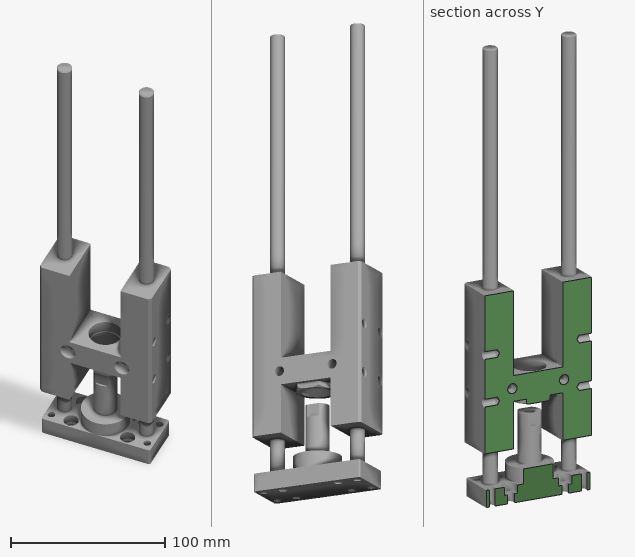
import cadquery as cq
import math

OVERALL_HEIGHT = 310.0

HOUSING_WIDTH = 79.0
HOUSING_DEPTH = 34.0
HOUSING_BOTTOM = 37.0
HOUSING_HEIGHT = 108.5
HOUSING_CHAMFER = 2.0
LEG_GAP = 36.0
BRIDGE_BOTTOM = 69.5
BRIDGE_HEIGHT = 18.0
BRIDGE_TOP = BRIDGE_BOTTOM + BRIDGE_HEIGHT
BRIDGE_MIDDLE = BRIDGE_BOTTOM + BRIDGE_HEIGHT / 2

BORE_DIAMETER = 20.5
BORE_RECESS_DIAMETER = 22.0
BORE_RECESS_DEPTH = 8.0
HEX_ACROSS_FLATS = 27.0
HEX_ACROSS_CORNERS = HEX_ACROSS_FLATS / math.cos(math.radians(30))
HEX_HEIGHT = 3.7
HEX_CHAMFER_ANGLE = 30.0

MOUNT_SPACING = 38.0
MOUNT_DIAMETER = 6.5
MOUNT_COUNTERBORE_DIAMETER = 11.0
MOUNT_COUNTERBORE_DEPTH = 8.7

DRILL_TIP_ANGLE = 118.0
SIDE_HOLE_DIAMETER = 5.0
SIDE_HOLE_MOUTH_DIAMETER = 6.5
SIDE_HOLE_DEPTH = 9.3
SIDE_HOLE_SPACING_Y = 23.0
SIDE_HOLE_SPACING_Z = 32.5
SIDE_HOLE_MIDDLE_Z = 88.0

PLATE_WIDTH = 77.0
PLATE_DEPTH = 32.0
PLATE_HEIGHT = 12.0
PLATE_CHAMFER = 1.0
ROD_DIAMETER = 10.0
ROD_SPACING = 58.0
ROD_CHAMFER = 0.5
FLANGE_DIAMETER = PLATE_DEPTH
FLANGE_HEIGHT = 10.2
SPINDLE_DIAMETER = 15.8
SPINDLE_TOP = 56.7
SPINDLE_ACROSS_FLATS = 13.0
SPINDLE_FLAT_LENGTH = 8.5
SPINDLE_HOLE_DIAMETER = 6.5
SPINDLE_HOLE_MOUTH_DIAMETER = 8.5
SPINDLE_HOLE_DEPTH = 15.5

CORNER_HOLE_DIAMETER = 5.0
CORNER_HOLE_SPACING_X = 68.0
PLATE_HOLE_SPACING_Y = 19.8
SCREW_HOLE_SPACING_X = 40.0
SCREW_HOLE_DIAMETER = 5.5
SCREW_COUNTERBORE_DIAMETER = 10.0
SCREW_COUNTERBORE_DEPTH = 5.5


def cylinder(diameter, bottom, top):
    """Upright cylinder on the Z axis."""
    return cq.Workplane("XY").workplane(offset=bottom).circle(diameter / 2).extrude(top - bottom)


def upright_block(width, depth, bottom, height):
    """Box centred on the Z axis, standing on the given level."""
    return cq.Workplane("XY").workplane(offset=bottom).rect(width, depth).extrude(height)


def drilled_hole(diameter, mouth_diameter, depth):
    """Cutter for a blind hole down from the origin: 45 degree mouth, conical bottom."""
    radius = diameter / 2
    mouth_radius = mouth_diameter / 2
    tip_length = radius / math.tan(math.radians(DRILL_TIP_ANGLE / 2))
    return (
        cq.Workplane("XZ")
        .moveTo(0, 0)
        .lineTo(mouth_radius, 0)
        .lineTo(radius, radius - mouth_radius)
        .lineTo(radius, -depth)
        .lineTo(0, -depth - tip_length)
        .close()
        .revolve(360, (0, 0, 0), (0, 1, 0))
    )


def hexagon():
    """Hexagon under the bridge, its lower corners turned off by a shallow cone."""
    bottom = BRIDGE_BOTTOM - HEX_HEIGHT
    prism = (
        cq.Workplane("XY")
        .workplane(offset=bottom)
        .polygon(6, HEX_ACROSS_CORNERS)
        .extrude(HEX_HEIGHT)
    )
    slope = math.tan(math.radians(HEX_CHAMFER_ANGLE))
    flat_radius = HEX_ACROSS_FLATS / 2
    turned = (
        cq.Workplane("XZ")
        .moveTo(0, bottom)
        .lineTo(flat_radius, bottom)
        .lineTo(flat_radius + HEX_HEIGHT / slope, BRIDGE_BOTTOM)
        .lineTo(0, BRIDGE_BOTTOM)
        .close()
        .revolve(360, (0, 0, 0), (0, 1, 0))
    )
    return prism.intersect(turned)


def housing_blank():
    """H-shaped block with chamfered outer edges and the hexagon under its bridge."""
    housing_top = HOUSING_BOTTOM + HOUSING_HEIGHT
    block = upright_block(HOUSING_WIDTH, HOUSING_DEPTH, HOUSING_BOTTOM, HOUSING_HEIGHT)
    block = block.edges("|Z").chamfer(HOUSING_CHAMFER)
    upper_gap = upright_block(LEG_GAP, HOUSING_DEPTH, BRIDGE_TOP, housing_top - BRIDGE_TOP)
    lower_gap = upright_block(LEG_GAP, HOUSING_DEPTH, HOUSING_BOTTOM, BRIDGE_BOTTOM - HOUSING_BOTTOM)
    return block.cut(upper_gap).cut(lower_gap).union(hexagon())


def cut_central_bore(body):
    bore = cylinder(BORE_DIAMETER, BRIDGE_BOTTOM - HEX_HEIGHT, BRIDGE_TOP)
    recess = cylinder(BORE_RECESS_DIAMETER, BRIDGE_TOP - BORE_RECESS_DEPTH, BRIDGE_TOP)
    return body.cut(bore).cut(recess)


def cut_rod_bores(body):
    for side in (-1, 1):
        bore = cylinder(ROD_DIAMETER, HOUSING_BOTTOM, HOUSING_BOTTOM + HOUSING_HEIGHT)
        body = body.cut(bore.translate((side * ROD_SPACING / 2, 0, 0)))
    return body


def cut_mount_holes(body):
    """Counterbored through holes, opening on the -Y face."""
    return (
        body.copyWorkplane(cq.Workplane("XZ", origin=(0, -HOUSING_DEPTH / 2, BRIDGE_MIDDLE)))
        .rarray(MOUNT_SPACING, 3, 2, 1)
        .cboreHole(MOUNT_DIAMETER, MOUNT_COUNTERBORE_DIAMETER, MOUNT_COUNTERBORE_DEPTH)
    )


def cut_side_holes(body):
    """Four blind holes in each outer side of the legs."""
    cutter = drilled_hole(SIDE_HOLE_DIAMETER, SIDE_HOLE_MOUTH_DIAMETER, SIDE_HOLE_DEPTH)
    for side in (-1, 1):
        sideways = cutter.rotate((0, 0, 0), (0, 1, 0), side * 90)
        for row in (-1, 1):
            for column in (-1, 1):
                place = (
                    side * HOUSING_WIDTH / 2,
                    column * SIDE_HOLE_SPACING_Y / 2,
                    SIDE_HOLE_MIDDLE_Z + row * SIDE_HOLE_SPACING_Z / 2,
                )
                body = body.cut(sideways.translate(place))
    return body


def make_housing():
    body = housing_blank()
    body = cut_central_bore(body)
    body = cut_rod_bores(body)
    body = cut_mount_holes(body)
    return cut_side_holes(body)


def plate():
    """Front plate with its corner holes and counterbored screw holes."""
    body = upright_block(PLATE_WIDTH, PLATE_DEPTH, 0, PLATE_HEIGHT)
    body = body.edges("|Z").chamfer(PLATE_CHAMFER)
    body = (
        body.faces(">Z")
        .workplane()
        .rarray(CORNER_HOLE_SPACING_X, PLATE_HOLE_SPACING_Y, 2, 2)
        .hole(CORNER_HOLE_DIAMETER)
    )
    return (
        body.faces(">Z")
        .workplane()
        .rarray(SCREW_HOLE_SPACING_X, PLATE_HOLE_SPACING_Y, 2, 2)
        .cboreHole(SCREW_HOLE_DIAMETER, SCREW_COUNTERBORE_DIAMETER, SCREW_COUNTERBORE_DEPTH)
    )


def spindle():
    """Flanged stub with wrench flats and a threaded hole in its top."""
    flange = cylinder(FLANGE_DIAMETER, PLATE_HEIGHT, PLATE_HEIGHT + FLANGE_HEIGHT)
    shaft = cylinder(SPINDLE_DIAMETER, PLATE_HEIGHT, SPINDLE_TOP)
    flats_bottom = SPINDLE_TOP - SPINDLE_FLAT_LENGTH
    beside_flats = upright_block(
        SPINDLE_DIAMETER, SPINDLE_DIAMETER, flats_bottom, SPINDLE_FLAT_LENGTH
    ).cut(upright_block(SPINDLE_DIAMETER, SPINDLE_ACROSS_FLATS, flats_bottom, SPINDLE_FLAT_LENGTH))
    hole = drilled_hole(SPINDLE_HOLE_DIAMETER, SPINDLE_HOLE_MOUTH_DIAMETER, SPINDLE_HOLE_DEPTH)
    shaft = shaft.cut(beside_flats).cut(hole.translate((0, 0, SPINDLE_TOP)))
    return flange.union(shaft)


def guide_rod():
    return cylinder(ROD_DIAMETER, PLATE_HEIGHT, OVERALL_HEIGHT).faces(">Z").chamfer(ROD_CHAMFER)


def make_carriage():
    body = plate().union(spindle())
    for side in (-1, 1):
        body = body.union(guide_rod().translate((side * ROD_SPACING / 2, 0, 0)))
    return body


housing = make_housing()
carriage = make_carriage()
result = cq.Compound.makeCompound([housing.val(), carriage.val()])